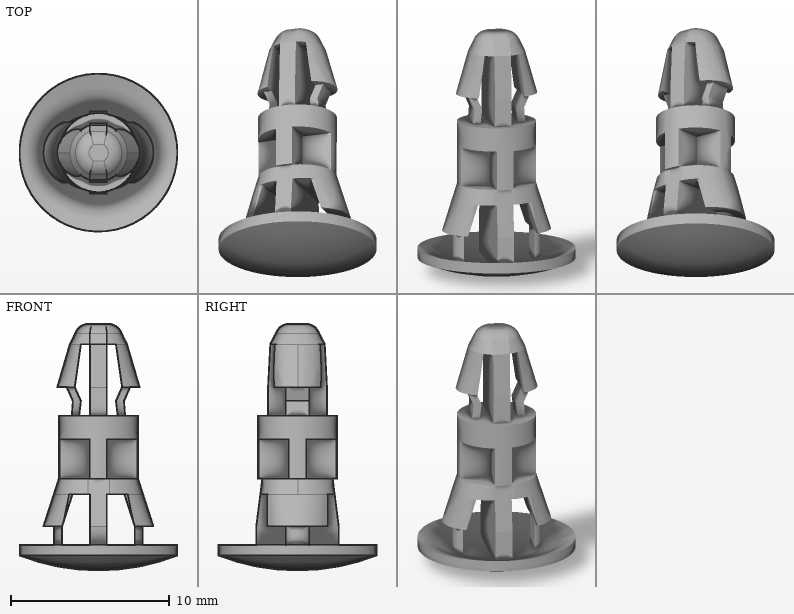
import cadquery as cq
import math

rim_bottom = 0.95
rim_top = 1.62
root = 0.47
lower_barb_bottom = 2.8
shoulder_bottom = 4.82
cross_bottom = 5.8
collar_bottom = 8.3
collar_top = 9.8
leg_bend = 10.72
upper_barb_bottom = 11.59
head_bottom = 14.3
nose_bottom = 15.0
top = 15.6

dish_radius = 10.0 / 2
collar_radius = 5.0 / 2
web_thickness = 1.08
support_half_width = 0.73

lower_web_foot = 2.613
lower_web_top = 2.23
shoulder_flat_half_width = 0.69

lower_barb_reach = 3.48
lower_barb_radius = 2.1
lower_barb_half_width = 1.911
lower_barb_inner_top = 1.64
lower_barb_inner_bottom = 2.3
peg_reach = 2.816

upper_web_foot = 1.87
upper_barb_reach = 2.6
upper_barb_radius = 1.55
upper_barb_inner_top = 1.1
upper_barb_inner_bottom = 1.49
leg_foot_inner, leg_foot_outer = 1.209, 1.693
leg_bend_inner, leg_bend_outer = 1.1, 1.62
leg_top_outer = 2.005

head_radius = 1.81
nose_radius = 1.47
tip_radius = 0.61
head_flat = math.sqrt(head_radius**2 - (web_thickness / 2) ** 2)
nose_flat = math.sqrt(nose_radius**2 - (web_thickness / 2) ** 2)
tip_flat = 0.51


def interpolate(z, z_start, start, z_end, end):
    """Value at z on the straight line between two levels."""
    return start + (end - start) * (z - z_start) / (z_end - z_start)


def both_sides(solid):
    """The solid together with its mirror image across the YZ plane."""
    return solid.union(solid.mirror("YZ"))


def extrude_along_y(points, half_width):
    return cq.Workplane("XZ").polyline(points).close().extrude(half_width, both=True)


def extrude_along_x(points, thickness):
    return cq.Workplane("YZ").polyline(points).close().extrude(thickness / 2, both=True)


def slanted_cone(z_low, center_low, radius_low, z_high, center_high, radius_high):
    """Straight-sided cone between two circles whose centres lie on the X axis."""
    return (
        cq.Workplane("XY", origin=(0, 0, z_low)).center(center_low, 0).circle(radius_low)
        .workplane(offset=z_high - z_low).center(center_high - center_low, 0).circle(radius_high)
        .loft(ruled=True)
    )


def make_dish():
    """Spherical dish of even vertical thickness with a cylindrical rim."""
    sphere_radius = (dish_radius**2 + rim_bottom**2) / (2 * rim_bottom)
    mid_radius = dish_radius / 2
    mid_rise = sphere_radius - math.sqrt(sphere_radius**2 - mid_radius**2)
    thickness = rim_top - rim_bottom
    return (
        cq.Workplane("XZ").moveTo(0, 0)
        .threePointArc((mid_radius, mid_rise), (dish_radius, rim_bottom))
        .lineTo(dish_radius, rim_top)
        .threePointArc((mid_radius, mid_rise + thickness), (0, thickness))
        .close().revolve(360, (0, 0, 0), (0, 1, 0))
    )


def make_web(z_foot, z_taper, half_foot, z_top, half_top):
    """Upright web, parallel up to z_taper and narrowing above it."""
    points = [
        (-half_foot, z_foot), (half_foot, z_foot), (half_foot, z_taper),
        (half_top, z_top), (-half_top, z_top), (-half_foot, z_taper),
    ]
    return extrude_along_x(points, web_thickness)


def barb_reach_at(z):
    return interpolate(z, cross_bottom, collar_radius, lower_barb_bottom, lower_barb_reach)


shoulder_web = interpolate(
    shoulder_bottom, cross_bottom, lower_web_top, lower_barb_bottom, lower_web_foot
)


def shoulder_outline(plane, reach, half_depth):
    """Two arcs bulging along X, joined by flats at +Y and -Y."""
    flat = shoulder_flat_half_width
    radius = arc_radius(reach, half_depth)
    center = reach - radius
    middle = math.atan2(half_depth, flat - center) / 2
    x_mid = center + radius * math.cos(middle)
    y_mid = radius * math.sin(middle)
    return (
        plane.moveTo(-flat, -half_depth).lineTo(flat, -half_depth)
        .threePointArc((x_mid, -y_mid), (reach, 0))
        .threePointArc((x_mid, y_mid), (flat, half_depth))
        .lineTo(-flat, half_depth)
        .threePointArc((-x_mid, y_mid), (-reach, 0))
        .threePointArc((-x_mid, -y_mid), (-flat, -half_depth))
        .close()
    )


def arc_radius(reach, half_depth):
    """Radius of the shoulder arc from the corner of a flat to full reach."""
    rise = reach - shoulder_flat_half_width
    return (half_depth**2 + rise**2) / (2 * rise)


def make_shoulder():
    low = cq.Workplane("XY", origin=(0, 0, shoulder_bottom))
    lower = shoulder_outline(low, barb_reach_at(shoulder_bottom), shoulder_web)
    upper = lower.workplane(offset=cross_bottom - shoulder_bottom)
    return shoulder_outline(upper, collar_radius, lower_web_top).loft(ruled=True)


def make_barbs(cone, z_low, inner_low, z_high, inner_high, reach, half_width):
    """Keep the part of a cone outside a sloping inner face, on both sides."""
    envelope = extrude_along_y(
        [(inner_low, z_low), (reach, z_low), (reach, z_high), (inner_high, z_high)], half_width
    )
    return both_sides(cone.intersect(envelope))


def make_lower_barbs():
    high_reach = barb_reach_at(shoulder_bottom)
    high_radius = arc_radius(high_reach, shoulder_web)
    cone = slanted_cone(
        lower_barb_bottom, lower_barb_reach - lower_barb_radius, lower_barb_radius,
        shoulder_bottom, high_reach - high_radius, high_radius,
    )
    return make_barbs(
        cone, lower_barb_bottom, lower_barb_inner_bottom,
        shoulder_bottom, lower_barb_inner_top, lower_barb_reach, lower_barb_half_width,
    )


def make_pegs():
    """D-shaped pegs between the dish and the lower barbs."""
    peg = (
        cq.Workplane("XY", origin=(0, 0, root))
        .moveTo(lower_barb_inner_bottom, -support_half_width)
        .threePointArc((peg_reach, 0), (lower_barb_inner_bottom, support_half_width))
        .close().extrude(lower_barb_bottom - root)
    )
    return both_sides(peg)


def make_collar():
    """Round collar on a cross-shaped column of the same radius."""
    collar = (
        cq.Workplane("XY", origin=(0, 0, collar_bottom))
        .circle(collar_radius).extrude(collar_top - collar_bottom)
    )
    height = collar_bottom - cross_bottom
    base = cq.Workplane("XY", origin=(0, 0, cross_bottom))
    cross = (
        base.rect(2 * collar_radius, web_thickness).extrude(height)
        .union(base.rect(web_thickness, 2 * collar_radius).extrude(height))
        .intersect(base.circle(collar_radius).extrude(height))
    )
    return collar.union(cross)


def make_spring_legs():
    leg = extrude_along_y(
        [
            (leg_foot_inner, collar_top), (leg_foot_outer, collar_top),
            (leg_bend_outer, leg_bend), (leg_top_outer, upper_barb_bottom),
            (upper_barb_inner_bottom, upper_barb_bottom), (leg_bend_inner, leg_bend),
        ],
        support_half_width,
    )
    return both_sides(leg)


def make_upper_barbs():
    cone = slanted_cone(
        upper_barb_bottom, upper_barb_reach - upper_barb_radius, upper_barb_radius,
        head_bottom, 0, head_radius,
    )
    return make_barbs(
        cone, upper_barb_bottom, upper_barb_inner_bottom,
        head_bottom, upper_barb_inner_top, upper_barb_reach, upper_barb_radius,
    )


def nose_arc_middle(nose, tip):
    """Middle of the nose arc, which is level where it reaches the tip."""
    rise = top - nose_bottom
    run = nose - tip
    radius = (run**2 + rise**2) / (2 * rise)
    half_angle = math.atan2(run, radius - rise) / 2
    return (tip + radius * math.sin(half_angle), top - radius * (1 - math.cos(half_angle)))


def half_head_profile(plane, base, nose, tip):
    return (
        cq.Workplane(plane).moveTo(0, head_bottom).lineTo(base, head_bottom)
        .lineTo(nose, nose_bottom)
        .threePointArc(nose_arc_middle(nose, tip), (tip, top))
        .lineTo(0, top).close()
    )


def make_head():
    round_head = half_head_profile("XZ", head_radius, nose_radius, tip_radius)
    round_head = round_head.revolve(360, (0, 0, 0), (0, 1, 0))
    half_trim = half_head_profile("YZ", head_flat, nose_flat, tip_flat)
    half_trim = half_trim.extrude(head_radius, both=True)
    return round_head.intersect(half_trim.union(half_trim.mirror("XZ")))


lower_web = make_web(root, lower_barb_bottom, lower_web_foot, shoulder_bottom, shoulder_web)
upper_web = make_web(collar_top, upper_barb_bottom, upper_web_foot, head_bottom, head_flat)

result = (
    make_dish()
    .union(lower_web)
    .union(make_pegs())
    .union(make_lower_barbs())
    .union(make_shoulder())
    .union(make_collar())
    .union(upper_web)
    .union(make_spring_legs())
    .union(make_upper_barbs())
    .union(make_head())
)